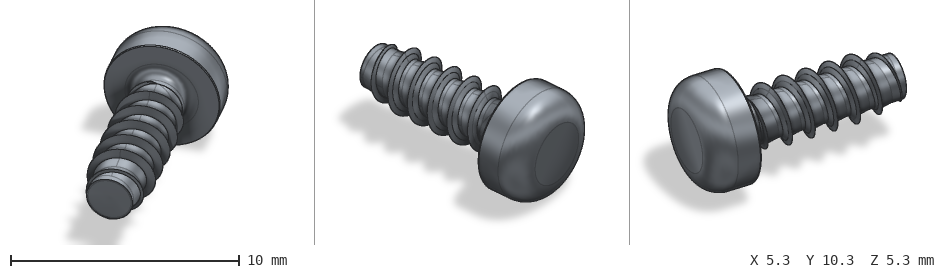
import cadquery as cq
import math

total_length = 10.3

head_diameter = 5.3
head_height = 2.31
dome_radius = 1.15
rim_bevel_height = 0.06
rim_bevel_depth = 0.03

neck_radius = 1.17
neck_length = 0.74
neck_fillet = 0.5
core_radius = 1.05
cone_top_radius = 1.16
cone_length = 0.45
dish_radius = 0.98
dish_depth = 0.06

four_turn_advance = 4.48
pitch = four_turn_advance / 4
crest_radius = 1.51
crest_start_y = -0.42
turn_start = -0.25
full_start = 1.25
full_end = 5.25
turn_end = 7.0
lead_in_growth = 0.24
run_out_loss = 0.29

crease_depth = 0.25
crease_height = 0.08
root_depth = 0.57
upper_root_height = 0.32
lower_root_height = -0.23

land_top_radius = 1.17
land_foot_height = -0.68
land_root_radius = 0.99
land_full_end = 6.0
land_end = 7.25

points_per_turn = 24
land_piece_turns = 0.5

head_radius = head_diameter / 2
shank_end_y = head_height - total_length


def revolved_body():
    """Head, filleted neck, start cone and plain core."""
    diagonal = math.sqrt(0.5)
    dome_centre_x = head_radius - dome_radius
    dome_centre_y = head_height - dome_radius
    fillet_centre_x = neck_radius + neck_fillet
    return (
        cq.Workplane("XY")
        .moveTo(0, head_height)
        .lineTo(dome_centre_x, head_height)
        .threePointArc(
            (dome_centre_x + dome_radius * diagonal, dome_centre_y + dome_radius * diagonal),
            (head_radius, dome_centre_y),
        )
        .lineTo(head_radius, rim_bevel_height)
        .lineTo(head_radius - rim_bevel_depth, 0)
        .lineTo(fillet_centre_x, 0)
        .threePointArc(
            (fillet_centre_x - neck_fillet * diagonal, -neck_fillet * (1 - diagonal)),
            (neck_radius, -neck_fillet),
        )
        .lineTo(neck_radius, -neck_length)
        .lineTo(cone_top_radius, -neck_length)
        .lineTo(core_radius, -neck_length - cone_length)
        .lineTo(core_radius, shank_end_y)
        .lineTo(0, shank_end_y)
        .close()
        .revolve(360, (0, 0, 0), (0, 1, 0))
        .val()
    )


def helix_point(turns, radius, height):
    """Point at a radius and at a height relative to the crest helix."""
    angle = 2 * math.pi * turns
    y = crest_start_y - pitch * turns + height
    return cq.Vector(radius * math.cos(angle), y, radius * math.sin(angle))


def helical_solid(section_at, spans):
    """Solid swept by section_at(turns), a list of (radius, height) corners, along joined spans."""
    faces = []
    for start, end in spans:
        steps = math.ceil((end - start) * points_per_turn)
        stations = [start + (end - start) * i / steps for i in range(steps + 1)]
        paths = zip(*[[helix_point(t, r, h) for r, h in section_at(t)] for t in stations])
        edges = [cq.Edge.makeSpline(list(path)) for path in paths]
        for i, edge in enumerate(edges):
            faces.append(cq.Face.makeRuledSurface(edges[i - 1], edge))
    for t in (spans[0][0], spans[-1][1]):
        corners = [helix_point(t, r, h) for r, h in section_at(t)]
        faces.append(cq.Face.makeFromWires(cq.Wire.makePolygon(corners, close=True)))
    return cq.Solid.makeSolid(cq.Shell.makeShell(faces)).fix()


def thread_section(turns):
    """Sharp thread whose whole section sinks inward at both ends."""
    sink = lead_in_growth * max(full_start - turns, 0) + run_out_loss * max(turns - full_end, 0)
    crest = crest_radius - sink
    return [
        (crest, 0),
        (crest - crease_depth, crease_height),
        (crest - root_depth, upper_root_height),
        (crest - root_depth, lower_root_height),
    ]


def land_section(turns):
    """Wedge that tapers from the crest height down to the core and sinks inward at its end."""
    sink = run_out_loss * max(turns - land_full_end, 0)
    slope = land_foot_height / (land_top_radius - core_radius)
    root_foot_height = slope * (land_top_radius - land_root_radius)
    return [
        (land_top_radius - sink, 0),
        (land_root_radius - sink, 0),
        (land_root_radius - sink, root_foot_height),
    ]


def threaded_zone():
    """Cylinder between the neck and the shank end that trims the helical solids."""
    return cq.Solid.makeCylinder(
        head_radius, -neck_length - shank_end_y, cq.Vector(0, shank_end_y, 0), cq.Vector(0, 1, 0)
    )


def end_dish():
    """Shallow cone hollowed out of the shank end."""
    return cq.Solid.makeCone(
        dish_radius, 0, dish_depth, cq.Vector(0, shank_end_y, 0), cq.Vector(0, 1, 0)
    )


thread = helical_solid(
    thread_section,
    [(turn_start, full_start), (full_start, full_end), (full_end, turn_end)],
)

land_pieces = round((land_end - turn_start) / land_piece_turns)
land_joints = [turn_start + land_piece_turns * i for i in range(land_pieces + 1)]
land = helical_solid(land_section, list(zip(land_joints, land_joints[1:])))

zone = threaded_zone()
screw = revolved_body().fuse(land.intersect(zone)).fuse(thread.intersect(zone)).cut(end_dish())
result = cq.Workplane(screw.Solids()[0])